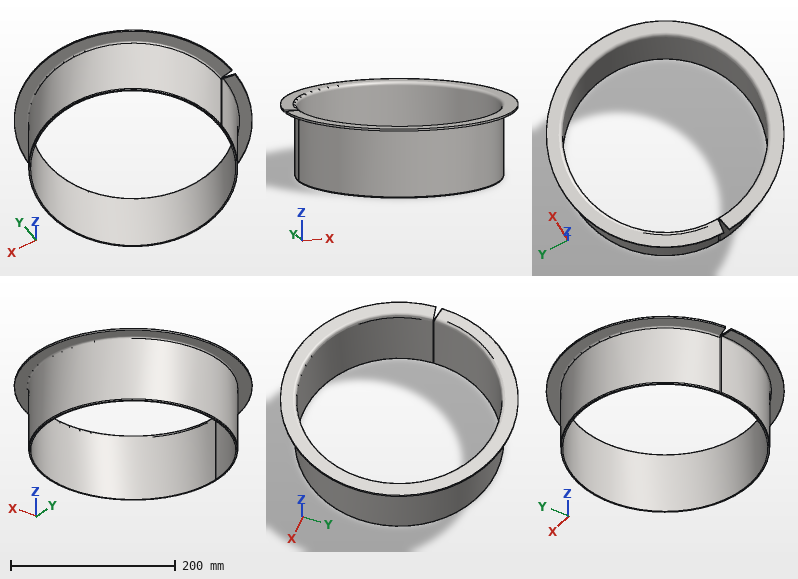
import cadquery as cq
import math

flange_radius = 145.0
bore_radius = 125.0
wall = 2.5
height = 90.0
bend_inner_radius = 2.0
bevel_height = 1.5
bevel_angle = 25.0
slit_half_angle = 10.0

wall_outer_radius = bore_radius + wall
bend_outer_radius = bend_inner_radius + wall
bend_center_radius = bore_radius + bend_outer_radius
bend_center_z = height - bend_outer_radius
bevel_depth = bevel_height * math.tan(math.radians(bevel_angle))
slit_apex_radius = bore_radius - wall


def bend_point(radius):
    """Midpoint (x, z) of the quarter bend on the -X side, at the given bend radius."""
    offset = radius * math.sqrt(0.5)
    return (offset - bend_center_radius, bend_center_z + offset)


def make_flanged_sleeve():
    """Cylindrical sleeve flared into a flat flange at the top and bevelled at the bottom."""
    profile = (
        cq.Workplane("XZ")
        .moveTo(-bore_radius, 0)
        .lineTo(-bore_radius, bend_center_z)
        .threePointArc(bend_point(bend_outer_radius), (-bend_center_radius, height))
        .lineTo(-flange_radius, height)
        .lineTo(-flange_radius, height - wall)
        .lineTo(-bend_center_radius, height - wall)
        .threePointArc(bend_point(bend_inner_radius), (-wall_outer_radius, bend_center_z))
        .lineTo(-wall_outer_radius, bevel_height)
        .lineTo(bevel_depth - wall_outer_radius, 0)
        .close()
    )
    return profile.revolve(360, (0, 0, 0), (0, 1, 0))


def make_slit():
    """Full-height wedge on the -X side, widening outward through wall and flange."""
    end_x = flange_radius + wall
    end_half_width = (end_x - slit_apex_radius) * math.tan(math.radians(slit_half_angle))
    return (
        cq.Workplane("XY")
        .polyline([(-slit_apex_radius, 0), (-end_x, end_half_width), (-end_x, -end_half_width)])
        .close()
        .extrude(height)
    )


result = make_flanged_sleeve().cut(make_slit())